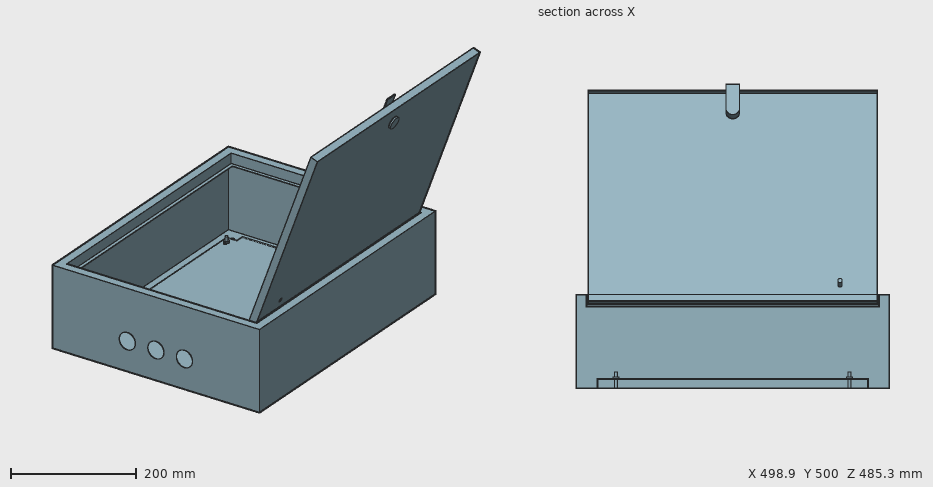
import cadquery as cq
import math


BOX_X = 400.0
BOX_Y = 500.0
BOX_Z = 150.0
SHEET = 1.0

RIM_WIDTH = 17.5
LEDGE_INSET = 24.0
LEDGE_DEPTH = 18.5

CABLE_HOLE_RADIUS = 15.5
CABLE_HOLE_PITCH = 55.0
CABLE_HOLE_Z = 55.0
CABLE_HOLE_COUNT = 3

WALL_HOLE_RADIUS = 3.5
WALL_HOLE_INSET = 25.0

PLATE_SHEET = 1.5
PLATE_INSET_X = 30.5
PLATE_INSET_Y = 33.5
PLATE_TOP = 16.5
NOTCH_X = 19.5
NOTCH_Y = 16.0

STUD_INSET_X = 40.0
STUD_INSET_Y = 64.0
STUD_RADIUS = 2.5
STUD_TOP = 27.0
NUT_RADIUS = 5.0
NUT_HEIGHT = 2.5
SLOT_WIDTH = 6.0
SLOT_REACH = 6.5

DOOR_LEAN = 20.0
DOOR_LENGTH = 358.0
DOOR_WIDTH = 462.0
DOOR_DEPTH = 14.0
DOOR_FOOT_X = 376.5
DOOR_FOOT_Z = 134.5
HINGE_STRIP_WIDTH = 15.0

EARTH_STUD_RADIUS = 3.5
EARTH_STUD_LENGTH = 20.5
EARTH_STUD_Y = 79.0
EARTH_STUD_UP = 32.5

LOCK_UP = 325.5
LOCK_RADIUS = 11.0
LOCK_REACH = 20.0
CAM_LENGTH = 40.5
CAM_THICKNESS = 2.0
LOCK_HEAD = 3.0

MID_X = BOX_X / 2
MID_Y = BOX_Y / 2
LEDGE_Z = BOX_Z - LEDGE_DEPTH
LEAN = math.radians(DOOR_LEAN)
DOOR_PLANE = cq.Plane(
    origin=(DOOR_FOOT_X, MID_Y, DOOR_FOOT_Z),
    xDir=(math.sin(LEAN), 0, math.cos(LEAN)),
    normal=(-math.cos(LEAN), 0, math.sin(LEAN)),
)
STUD_POINTS = [
    (x, y)
    for x in (STUD_INSET_X, BOX_X - STUD_INSET_X)
    for y in (STUD_INSET_Y, BOX_Y - STUD_INSET_Y)
]


def inset_block(inset, bottom, top):
    """Block with the plan of the box, moved in by inset on all four sides."""
    size_x = BOX_X - 2 * inset
    size_y = BOX_Y - 2 * inset
    return cq.Workplane().box(size_x, size_y, top - bottom).translate((MID_X, MID_Y, (bottom + top) / 2))


def frame(outer_inset, inner_inset, bottom, top):
    """Rectangular ring between two insets from the box sides."""
    return inset_block(outer_inset, bottom, top).cut(inset_block(inner_inset, bottom, top))


def make_box():
    box = inset_block(0, 0, BOX_Z).cut(inset_block(SHEET, SHEET, BOX_Z))
    rim = frame(0, RIM_WIDTH, BOX_Z - SHEET, BOX_Z)
    rim_return = frame(RIM_WIDTH - SHEET, RIM_WIDTH, LEDGE_Z - SHEET, BOX_Z)
    ledge = frame(RIM_WIDTH - SHEET, LEDGE_INSET, LEDGE_Z - SHEET, LEDGE_Z)
    box = box.union(rim).union(rim_return).union(ledge).clean()

    cable_holes = (
        cq.Workplane("XZ", origin=(MID_X, 0, CABLE_HOLE_Z))
        .rarray(CABLE_HOLE_PITCH, 5, CABLE_HOLE_COUNT, 1)
        .circle(CABLE_HOLE_RADIUS)
        .extrude(-SHEET)
    )
    wall_holes = (
        cq.Workplane(origin=(MID_X, MID_Y, 0))
        .rect(BOX_X - 2 * WALL_HOLE_INSET, BOX_Y - 2 * WALL_HOLE_INSET, forConstruction=True)
        .vertices()
        .circle(WALL_HOLE_RADIUS)
        .extrude(SHEET)
    )
    return box.cut(cable_holes).cut(wall_holes)


def make_plate():
    """Plate whose two Y edges are folded down to the floor between corner notches."""
    size_x = BOX_X - 2 * PLATE_INSET_X
    size_y = BOX_Y - 2 * PLATE_INSET_Y
    height = PLATE_TOP - SHEET
    channel = cq.Workplane().box(size_x - 2 * NOTCH_X, size_y, height)
    hollow = (
        cq.Workplane()
        .box(size_x, size_y - 2 * PLATE_SHEET, height)
        .translate((0, 0, -PLATE_SHEET))
    )
    web = (
        cq.Workplane()
        .box(size_x, size_y - 2 * NOTCH_Y, PLATE_SHEET)
        .translate((0, 0, (height - PLATE_SHEET) / 2))
    )
    plate = channel.cut(hollow).union(web).clean().translate((MID_X, MID_Y, SHEET + height / 2))

    slot_length = SLOT_REACH + SLOT_WIDTH / 2
    slot_shift = slot_length / 2 - SLOT_WIDTH / 2
    for x, y in STUD_POINTS:
        towards_middle = math.copysign(slot_shift, MID_Y - y)
        slot = (
            cq.Workplane(origin=(x, y + towards_middle, 0))
            .slot2D(slot_length, SLOT_WIDTH, 90)
            .extrude(BOX_Z)
        )
        plate = plate.cut(slot)
    return plate


def make_stud(x, y):
    """Stud standing on the floor, with the nut that clamps the plate."""
    shank = cq.Workplane(origin=(x, y, SHEET)).circle(STUD_RADIUS).extrude(STUD_TOP - SHEET)
    nut = cq.Workplane(origin=(x, y, PLATE_TOP)).circle(NUT_RADIUS).extrude(NUT_HEIGHT)
    return shank.union(nut)


def on_door(up, along=0.0, depth=0.0):
    """Workplane parallel to the door, centred up from the hinge edge and along it."""
    return cq.Workplane(DOOR_PLANE).workplane(offset=depth).center(up, along)


def make_door():
    middle = DOOR_LENGTH / 2
    door = on_door(middle).rect(DOOR_LENGTH, DOOR_WIDTH).extrude(DOOR_DEPTH)
    inside_width = DOOR_WIDTH - 2 * SHEET
    tray = on_door(middle, depth=SHEET).rect(DOOR_LENGTH - 2 * SHEET, inside_width).extrude(DOOR_DEPTH)
    hinge_strip = (
        on_door(SHEET + HINGE_STRIP_WIDTH / 2, depth=SHEET)
        .rect(HINGE_STRIP_WIDTH, inside_width)
        .extrude(SHEET)
    )
    earth_stud = (
        on_door(EARTH_STUD_UP, EARTH_STUD_Y - MID_Y, SHEET)
        .circle(EARTH_STUD_RADIUS)
        .extrude(EARTH_STUD_LENGTH)
    )
    lock_hole = on_door(LOCK_UP).circle(LOCK_RADIUS).extrude(SHEET)
    return door.cut(tray).union(hinge_strip).union(earth_stud).cut(lock_hole)


def make_lock():
    """Barrel through the door with a cam reaching past the top edge."""
    barrel = on_door(LOCK_UP, depth=-LOCK_HEAD).circle(LOCK_RADIUS).extrude(LOCK_HEAD + LOCK_REACH)
    cam = (
        on_door(LOCK_UP + CAM_LENGTH / 2, depth=LOCK_REACH - CAM_THICKNESS)
        .rect(CAM_LENGTH, 2 * LOCK_RADIUS)
        .extrude(CAM_THICKNESS)
    )
    return barrel.union(cam)


box = make_box()
plate = make_plate()
door = make_door()
lock = make_lock()
studs = [make_stud(x, y) for x, y in STUD_POINTS]

result = cq.Compound.makeCompound(
    [box.val(), plate.val(), door.val(), lock.val(), *[stud.val() for stud in studs]]
)